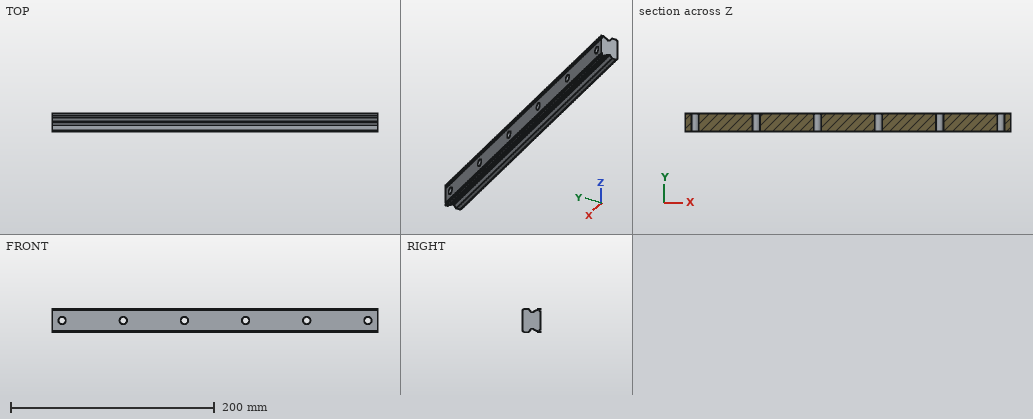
import cadquery as cq

length = 320.0
depth = 18.0
height = 23.0

hole_count = 6
hole_diameter = 7.0
hole_end_margin = 10.0
hole_pitch = (length - 2 * hole_end_margin) / (hole_count - 1)

chamfer_depth = 1.5
chamfer_drop = 1.3

track_front = 6.0
track_wall_run = 2.5
track_floor = 1.5
track_ramp_run = 3.5
track_drop = 3.2
shoulder_drop = 1.3
shoulder_run = 1.5
shoulder_sag = 0.3

groove_offset = 1.0
groove_width = 2.0
groove_depth = 1.0

front = -depth / 2
back = depth / 2
top = height / 2


def cut_profile(outline):
    """Turn a closed (Y, Z) outline into a cutter that runs the full length of the rail."""
    return outline.close().extrude(length / 2, both=True)


def upper_track():
    """Track cutter: sloping front wall, flat floor, long ramp and a hollow shoulder."""
    wall_top = front + track_front
    floor_start = wall_top + track_wall_run
    floor_end = floor_start + track_floor
    ramp_end = floor_end + track_ramp_run
    shoulder_end = ramp_end + shoulder_run
    return cut_profile(
        cq.Workplane("YZ")
        .moveTo(wall_top, top)
        .lineTo(floor_start, top - track_drop)
        .lineTo(floor_end, top - track_drop)
        .lineTo(ramp_end, top - shoulder_drop)
        .sagittaArc((shoulder_end, top), -shoulder_sag)
    )


def upper_back_groove():
    """Groove cutter with an arc section, open to the back face."""
    groove_top = top - groove_offset
    return cut_profile(
        cq.Workplane("YZ")
        .moveTo(back, groove_top)
        .threePointArc(
            (back - groove_depth, groove_top - groove_width / 2),
            (back, groove_top - groove_width),
        )
    )


def upper_front_chamfer():
    """Wedge that bevels the upper front edge."""
    return cut_profile(
        cq.Workplane("YZ")
        .moveTo(front, top - chamfer_drop)
        .lineTo(front + chamfer_depth, top)
        .lineTo(front, top)
    )


body = cq.Workplane("XY").box(length, depth, height)
for cutter in (upper_track(), upper_back_groove(), upper_front_chamfer()):
    body = body.cut(cutter).cut(cutter.mirror("XY"))

holes = (
    cq.Workplane("XZ")
    .rarray(hole_pitch, 3.2, hole_count, 1)
    .circle(hole_diameter / 2)
    .extrude(depth, both=True)
)

result = body.cut(holes)